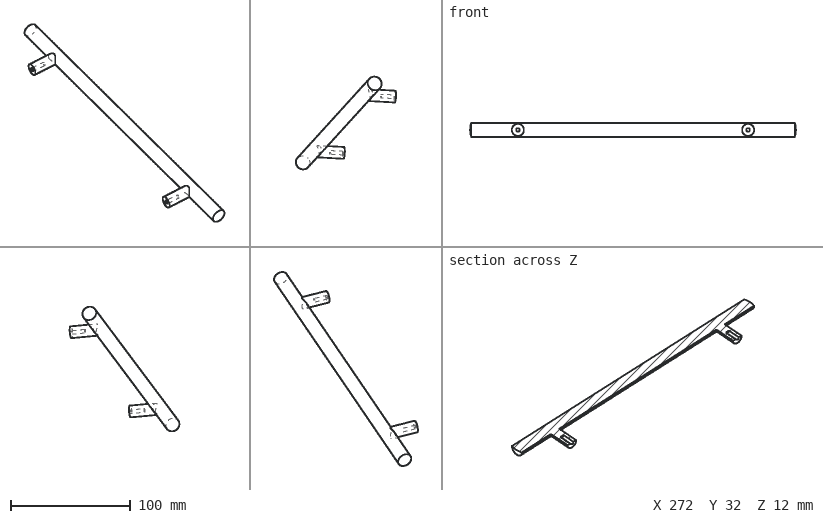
import cadquery as cq

bar_length = 272.0
bar_diameter = 12.0
dome_height = 1.0
depth = 32.0
post_diameter = 10.0
post_spacing = 192.0
hole_diameter = 3.0
hole_depth = 12.0

bar_radius = bar_diameter / 2
post_length = depth - bar_radius


def make_bar():
    """Bar centred on the origin, with shallow spherical ends."""
    tip_x = bar_length / 2
    rim_x = tip_x - dome_height
    sphere_radius = (bar_radius**2 + dome_height**2) / (2 * dome_height)
    arc_mid_y = bar_radius / 2
    arc_mid_x = tip_x - sphere_radius + (sphere_radius**2 - arc_mid_y**2) ** 0.5
    profile = (
        cq.Workplane("XY")
        .moveTo(-tip_x, 0)
        .threePointArc((-arc_mid_x, arc_mid_y), (-rim_x, bar_radius))
        .lineTo(rim_x, bar_radius)
        .threePointArc((arc_mid_x, arc_mid_y), (tip_x, 0))
        .close()
    )
    return profile.revolve(360, (0, 0, 0), (1, 0, 0))


def cylinder_from_post_end(x, diameter, length):
    """Cylinder running from the free end of the post at x toward the bar."""
    post_end = cq.Workplane("XZ", origin=(x, -post_length, 0))
    return post_end.circle(diameter / 2).extrude(-length)


result = make_bar()
for post_x in (-post_spacing / 2, post_spacing / 2):
    result = result.union(cylinder_from_post_end(post_x, post_diameter, post_length))
    result = result.cut(cylinder_from_post_end(post_x, hole_diameter, hole_depth))